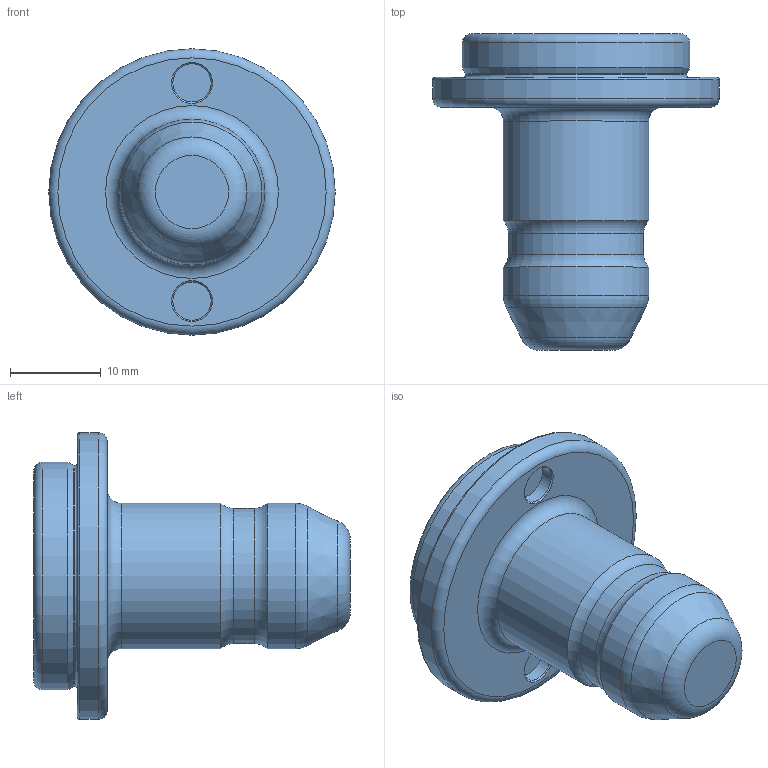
import cadquery as cq
import math

TOTAL_LENGTH = 34.8
TIP_Y = -TOTAL_LENGTH

HEAD_RADIUS = 12.5
HEAD_LENGTH = 4.8
HEAD_ROUND = 1.0
NECK_RADIUS = 12.15
NECK_FILLET = 0.3
NECK_TAPER_START = 1.05
NECK_TAPER_END = 0.4

FLANGE_RADIUS = 15.75
FLANGE_THICKNESS = 3.3
FLANGE_FRONT_ROUND = 1.0
FLANGE_BACK_ROUND = 0.25

SHANK_RADIUS = 8.0
SHANK_FILLET = 1.5

GROOVE_CENTER = 11.7
GROOVE_FLOOR_WIDTH = 2.3
GROOVE_DEPTH = 0.57
GROOVE_ARC_RADIUS = 2.0

SHOULDER_START = 6.04
SHOULDER_ROUND = 3.0
NOSE_HALF_ANGLE = math.radians(26.5)
NOSE_CONE_END = 1.43
TIP_FLAT_RADIUS = 4.02

HOLE_OFFSET = 12.0
HOLE_DIAMETER = 4.2
HOLE_DEPTH = 1.5
HOLE_CHAMFER = 0.15

flange_back_y = -HEAD_LENGTH
flange_front_y = flange_back_y - FLANGE_THICKNESS


def add_arc(profile, center, radius, start_angle, end_angle):
    """Continue the profile with a circular arc; angles in radians from +X."""
    points = []
    for angle in ((start_angle + end_angle) / 2, end_angle):
        points.append((center[0] + radius * math.cos(angle), center[1] + radius * math.sin(angle)))
    return profile.threePointArc(*points)


def add_nose(profile):
    """From the axis at the tip face out to the shank radius."""
    shoulder_y = TIP_Y + SHOULDER_START
    shoulder_center = (SHANK_RADIUS - SHOULDER_ROUND, shoulder_y)
    cone_start_radius = shoulder_center[0] + SHOULDER_ROUND * math.cos(NOSE_HALF_ANGLE)
    cone_start_y = shoulder_y - SHOULDER_ROUND * math.sin(NOSE_HALF_ANGLE)
    cone_end_y = TIP_Y + NOSE_CONE_END
    cone_end_radius = cone_start_radius - (cone_start_y - cone_end_y) * math.tan(NOSE_HALF_ANGLE)
    tip_width = cone_end_radius - TIP_FLAT_RADIUS
    tip_round = (tip_width ** 2 + NOSE_CONE_END ** 2) / (2 * NOSE_CONE_END)
    tip_end_angle = math.atan2(NOSE_CONE_END - tip_round, tip_width)

    profile = profile.moveTo(0, TIP_Y).lineTo(TIP_FLAT_RADIUS, TIP_Y)
    tip_center = (TIP_FLAT_RADIUS, TIP_Y + tip_round)
    profile = add_arc(profile, tip_center, tip_round, -math.pi / 2, tip_end_angle)
    profile = profile.lineTo(cone_start_radius, cone_start_y)
    return add_arc(profile, shoulder_center, SHOULDER_ROUND, -NOSE_HALF_ANGLE, 0)


def add_groove(profile):
    """Along the shank and through the snap groove."""
    center_y = TIP_Y + GROOVE_CENTER
    floor_half = GROOVE_FLOOR_WIDTH / 2
    arc_x = SHANK_RADIUS - GROOVE_DEPTH + GROOVE_ARC_RADIUS
    sweep = math.acos(1 - GROOVE_DEPTH / GROOVE_ARC_RADIUS)
    arc_length_y = GROOVE_ARC_RADIUS * math.sin(sweep)

    profile = profile.lineTo(SHANK_RADIUS, center_y - floor_half - arc_length_y)
    front_center = (arc_x, center_y - floor_half)
    profile = add_arc(profile, front_center, GROOVE_ARC_RADIUS, math.pi + sweep, math.pi)
    profile = profile.lineTo(SHANK_RADIUS - GROOVE_DEPTH, center_y + floor_half)
    back_center = (arc_x, center_y + floor_half)
    return add_arc(profile, back_center, GROOVE_ARC_RADIUS, math.pi, math.pi - sweep)


def add_flange(profile):
    """From the shank, over the flange, to the foot of the relief neck."""
    quarter = math.pi / 2
    fillet_center = (SHANK_RADIUS + SHANK_FILLET, flange_front_y - SHANK_FILLET)
    front_center = (FLANGE_RADIUS - FLANGE_FRONT_ROUND, flange_front_y + FLANGE_FRONT_ROUND)
    back_center = (FLANGE_RADIUS - FLANGE_BACK_ROUND, flange_back_y - FLANGE_BACK_ROUND)

    profile = profile.lineTo(SHANK_RADIUS, fillet_center[1])
    profile = add_arc(profile, fillet_center, SHANK_FILLET, math.pi, quarter)
    profile = profile.lineTo(front_center[0], flange_front_y)
    profile = add_arc(profile, front_center, FLANGE_FRONT_ROUND, -quarter, 0)
    profile = profile.lineTo(FLANGE_RADIUS, back_center[1])
    profile = add_arc(profile, back_center, FLANGE_BACK_ROUND, 0, quarter)
    return profile.lineTo(NECK_RADIUS + NECK_FILLET, flange_back_y)


def add_head(profile):
    """From the relief neck over the head to the axis at the back face."""
    quarter = math.pi / 2
    neck_center = (NECK_RADIUS + NECK_FILLET, flange_back_y + NECK_FILLET)
    profile = add_arc(profile, neck_center, NECK_FILLET, -quarter, -math.pi)
    profile = profile.lineTo(NECK_RADIUS, flange_back_y + NECK_TAPER_END)
    profile = profile.lineTo(HEAD_RADIUS, flange_back_y + NECK_TAPER_START)
    profile = profile.lineTo(HEAD_RADIUS, -HEAD_ROUND)
    head_center = (HEAD_RADIUS - HEAD_ROUND, -HEAD_ROUND)
    profile = add_arc(profile, head_center, HEAD_ROUND, 0, quarter)
    return profile.lineTo(0, 0)


def make_body():
    profile = cq.Workplane("XY")
    for add_section in (add_nose, add_groove, add_flange, add_head):
        profile = add_section(profile)
    return profile.close().revolve(360, (0, 0, 0), (0, 1, 0))


def make_hole(z):
    """Blind hole cutter with a chamfered mouth, entering the flange front face along +Y."""
    radius = HOLE_DIAMETER / 2
    bottom_y = flange_front_y + HOLE_DEPTH
    outline = [
        (0, flange_front_y),
        (radius + HOLE_CHAMFER, flange_front_y),
        (radius, flange_front_y + HOLE_CHAMFER),
        (radius, bottom_y),
        (0, bottom_y),
    ]
    cutter = cq.Workplane("XY").polyline(outline).close().revolve(360, (0, 0, 0), (0, 1, 0))
    return cutter.translate((0, 0, z))


result = make_body()
for hole_z in (-HOLE_OFFSET, HOLE_OFFSET):
    result = result.cut(make_hole(hole_z))